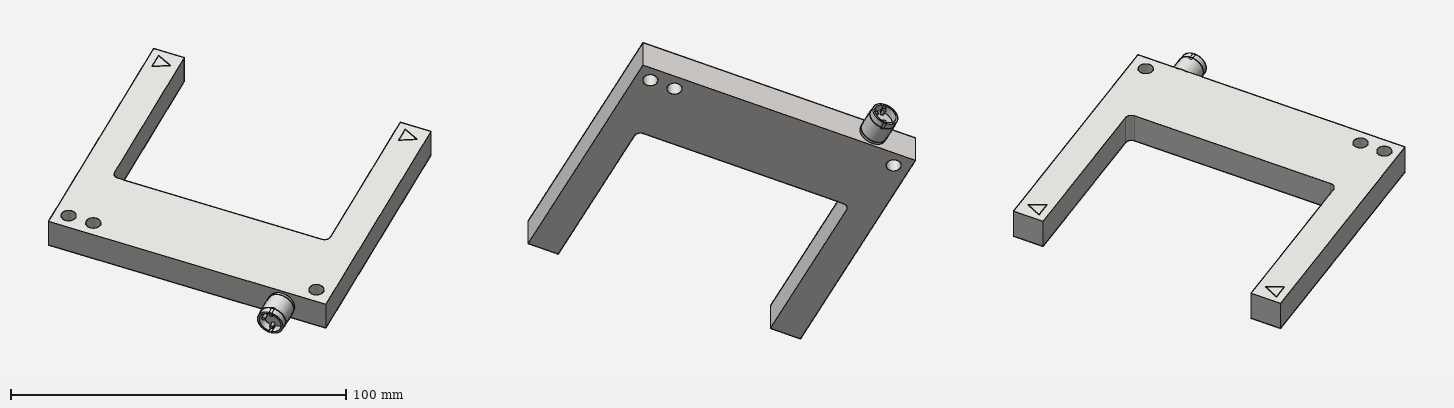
import cadquery as cq
import math

plate_width = 90.0
plate_length = 80.0
thickness = 10.0
arm_width = 10.0
base_depth = 25.0
inner_corner_radius = 2.0

hole_diameter = 4.5
hole_front_offset = 4.6
left_hole_offsets = (4.6, 12.6)
right_hole_offset = 5.0

mark_length = 4.95
mark_width = 5.0
mark_side_offset = 2.5
mark_end_offset = 2.2
mark_depth = 0.2

connector_offset = 14.2
connector_length = 9.0
neck_length = 0.9
neck_diameter = 8.3
barrel_diameter = 8.55
tip_length = 2.0
tip_diameter = 8.3
socket_diameter = 7.0
socket_depth = 2.5
pin_diameter = 1.1
pin_length = 1.8
pin_circle_radius = 2.5
pin_angles = (90, 180, 270)
keyway_width = 0.9
keyway_span = 7.9

half_width = plate_width / 2
front_y = -plate_length / 2
back_y = plate_length / 2
top_z = thickness / 2
connector_x = half_width - connector_offset
connector_end_y = front_y - connector_length
socket_floor_y = connector_end_y + socket_depth


def cylinder_along_front(x, z, start_y, length, diameter):
    """Cylinder that starts at start_y and runs towards -Y."""
    axis = cq.Vector(0, -1, 0)
    return cq.Workplane(cq.Solid.makeCylinder(diameter / 2, length, cq.Vector(x, start_y, z), axis))


def make_housing():
    plate = cq.Workplane().box(plate_width, plate_length, thickness)
    gap_width = plate_width - 2 * arm_width
    gap_length = plate_length - base_depth
    gap = (
        cq.Workplane()
        .box(gap_width, gap_length, thickness)
        .edges("|Z and <Y")
        .fillet(inner_corner_radius)
        .translate((0, back_y - gap_length / 2, 0))
    )
    hole_xs = [offset - half_width for offset in left_hole_offsets]
    hole_xs.append(half_width - right_hole_offset)
    hole_y = front_y + hole_front_offset
    holes = (
        cq.Workplane()
        .pushPoints([(x, hole_y) for x in hole_xs])
        .circle(hole_diameter / 2)
        .extrude(thickness, both=True)
    )
    return plate.cut(gap).cut(holes)


def make_mark(arm_left_x):
    """Triangular recess that points towards +X."""
    left_x = arm_left_x + mark_side_offset
    upper_y = back_y - mark_end_offset
    corners = [
        (left_x, upper_y),
        (left_x, upper_y - mark_width),
        (left_x + mark_length, upper_y - mark_width / 2),
    ]
    return cq.Workplane().workplane(offset=top_z - mark_depth).polyline(corners).close().extrude(mark_depth)


def make_connector():
    barrel_start_y = front_y - neck_length
    barrel_length = connector_length - neck_length - tip_length
    tip_start_y = barrel_start_y - barrel_length
    neck = cylinder_along_front(connector_x, 0, front_y, neck_length, neck_diameter)
    barrel = cylinder_along_front(connector_x, 0, barrel_start_y, barrel_length, barrel_diameter)
    tip = cylinder_along_front(connector_x, 0, tip_start_y, tip_length, tip_diameter)
    socket = cylinder_along_front(connector_x, 0, socket_floor_y, socket_depth, socket_diameter)
    keyways = cq.Workplane().box(keyway_width, socket_depth, keyway_span)
    keyways = keyways.translate((connector_x, connector_end_y + socket_depth / 2, 0))
    connector = neck.union(barrel).union(tip).cut(socket).cut(keyways)
    for angle in pin_angles:
        pin_x = connector_x + pin_circle_radius * math.cos(math.radians(angle))
        pin_z = pin_circle_radius * math.sin(math.radians(angle))
        connector = connector.union(cylinder_along_front(pin_x, pin_z, socket_floor_y, pin_length, pin_diameter))
    return connector


result = make_housing().union(make_connector())
for arm_left_edge in (-half_width, half_width - arm_width):
    result = result.cut(make_mark(arm_left_edge))